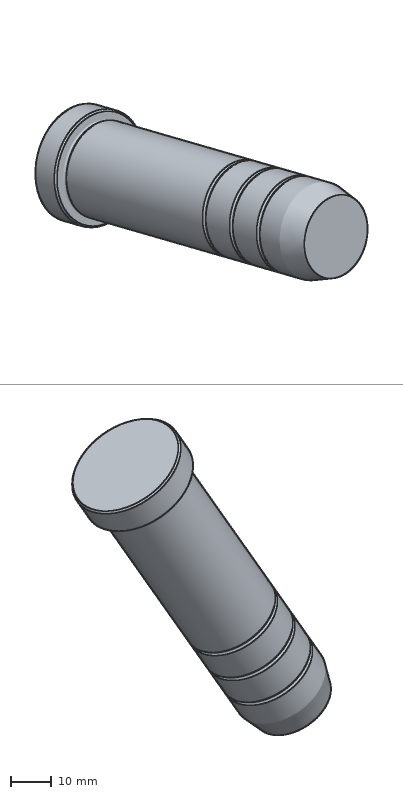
import cadquery as cq
import math

total_length = 95.0
head_diameter = 30.0
head_length = 8.0
head_chamfer = 0.5
shank_diameter = 25.0

taper_length = 7.0
taper_angle = math.radians(15)

groove_width = 1.1
groove_depth = 0.5
groove_count = 3
groove_pitch = 10.0
last_groove_from_tip = 15.0

head_radius = head_diameter / 2
shank_radius = shank_diameter / 2
head_start = -total_length / 2
head_end = head_start + head_length
tip = total_length / 2
tip_radius = shank_radius - taper_length * math.tan(taper_angle)


def add_groove(profile, center):
    """Extend the shank outline through one arc-shaped groove."""
    return profile.lineTo(center - groove_width / 2, shank_radius).threePointArc(
        (center, shank_radius - groove_depth),
        (center + groove_width / 2, shank_radius),
    )


profile = (
    cq.Workplane("XY")
    .moveTo(head_start, 0)
    .lineTo(head_start, head_radius - head_chamfer)
    .lineTo(head_start + head_chamfer, head_radius)
    .lineTo(head_end - head_chamfer, head_radius)
    .lineTo(head_end, head_radius - head_chamfer)
)

profile = add_groove(profile, head_end + groove_width / 2)
for index in reversed(range(groove_count)):
    profile = add_groove(profile, tip - last_groove_from_tip - index * groove_pitch)

result = (
    profile.lineTo(tip - taper_length, shank_radius)
    .lineTo(tip, tip_radius)
    .lineTo(tip, 0)
    .close()
    .revolve(360, (0, 0, 0), (1, 0, 0))
)